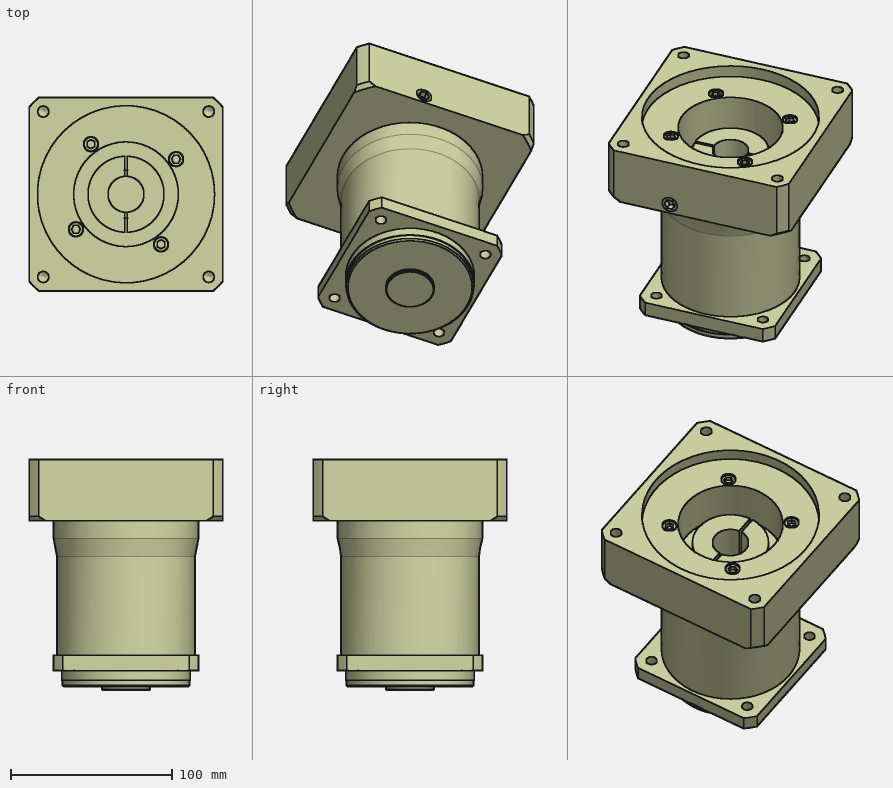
import cadquery as cq
import math

overall_height = 143.0

plate_side = 120.0
plate_thickness = 38.0
plate_corner_radius = 80.8
plate_corner_chamfer = 2.7
pocket_radius = 54.9
pocket_depth = 8.0
plate_bore_radius = 32.5
motor_hole_spacing = 102.5
motor_hole_radius = 3.5
motor_hole_depth = 20.0
drill_tip_angle = 118.0

screw_circle_radius = 37.9
screw_first_angle = 35.0
screw_spacing_angle = 90.0
screw_count = 4
screw_head_radius = 4.3
screw_recess_radius = 4.6
screw_recess_depth = 4.3
screw_head_drop = 0.9
screw_hex_width = 4.9
screw_hex_depth = 2.9

plug_radius = 5.0
plug_length = 8.6
plug_y = 17.0
plug_hex_width = 6.0
plug_hex_depth = 4.3

hub_head_radius = 23.6
hub_head_height = 13.0
hub_shank_radius = 15.0
hub_shank_length = 20.0
hub_bore_radius = 11.2
hub_bore_depth = 30.0
hub_slot_width = 1.7
hub_slot_depth = 21.5

neck_radius = 45.0
neck_length = 10.7
taper_length = 11.2
barrel_radius = 42.9
flange_side = 90.1
flange_corner_radius = 59.6
flange_bottom = 12.2
flange_thickness = 9.6
flange_hole_spacing = 70.8
flange_hole_radius = 3.3
pilot_radius = 39.9
pilot_bottom = 6.0
pilot_relief_radius = 39.5
pilot_relief_bottom = 2.0
pilot_chamfer = 1.0
output_radius = 15.0
output_chamfer = 0.6

plate_bottom = overall_height - plate_thickness
pocket_floor = overall_height - pocket_depth
flange_top = flange_bottom + flange_thickness
hub_top = plate_bottom + hub_head_height
hub_bottom = plate_bottom - hub_shank_length
plug_z = plate_bottom + hub_head_height / 2


def disc(radius, bottom, top):
    """Cylinder on the Z axis between two levels."""
    return cq.Workplane("XY").workplane(offset=bottom).circle(radius).extrude(top - bottom)


def square_block(side, bottom, top):
    """Square block centred on the Z axis between two levels."""
    return cq.Workplane("XY").workplane(offset=bottom).rect(side, side).extrude(top - bottom)


def corner_points(spacing):
    """Four points at the corners of a square centred on the axis."""
    half = spacing / 2
    return [(x, y) for x in (-half, half) for y in (-half, half)]


def hexagon_diameter(width_across_flats):
    """Diameter across the corners of a hexagon."""
    return width_across_flats / math.cos(math.pi / 6)


def motor_hole():
    """Blind drilled hole with a conical tip, its mouth at the origin."""
    tip_length = motor_hole_radius / math.tan(math.radians(drill_tip_angle / 2))
    return (
        cq.Workplane("XZ")
        .moveTo(0, 0)
        .lineTo(motor_hole_radius, 0)
        .lineTo(motor_hole_radius, -motor_hole_depth)
        .lineTo(0, -motor_hole_depth - tip_length)
        .close()
        .revolve(360, (0, 0, 0), (0, 1, 0))
    )


def screw_recess():
    """Space around and inside one socket screw head, on the +X side of the screw circle."""
    recess = disc(screw_recess_radius, pocket_floor - screw_recess_depth, pocket_floor)
    head_top = pocket_floor - screw_head_drop
    head = disc(screw_head_radius, pocket_floor - screw_recess_depth, head_top)
    socket = (
        cq.Workplane("XY")
        .workplane(offset=head_top - screw_hex_depth)
        .polygon(6, hexagon_diameter(screw_hex_width))
        .extrude(screw_hex_depth)
        .rotate((0, 0, 0), (0, 0, 1), -screw_first_angle)
    )
    return recess.cut(head.cut(socket)).translate((screw_circle_radius, 0, 0))


def plug_blank():
    """Solid cylinder of the plug, running in from the -X face of the plate."""
    return (
        cq.Workplane("YZ")
        .workplane(offset=-plate_side / 2)
        .center(plug_y, plug_z)
        .circle(plug_radius)
        .extrude(plug_length)
    )


def make_adapter_plate():
    corners = disc(plate_corner_radius, plate_bottom, overall_height)
    corners = corners.faces("<Z").chamfer(plate_corner_chamfer)
    plate = square_block(plate_side, plate_bottom, overall_height).intersect(corners)
    plate = plate.cut(disc(pocket_radius, pocket_floor, overall_height))
    plate = plate.cut(disc(plate_bore_radius, plate_bottom, pocket_floor))
    for x, y in corner_points(motor_hole_spacing):
        plate = plate.cut(motor_hole().translate((x, y, overall_height)))
    for index in range(screw_count):
        angle = screw_first_angle + index * screw_spacing_angle
        plate = plate.cut(screw_recess().rotate((0, 0, 0), (0, 0, 1), angle))
    return plate.cut(plug_blank())


def make_plug():
    socket = (
        cq.Workplane("YZ")
        .workplane(offset=-plate_side / 2)
        .center(plug_y, plug_z)
        .polygon(6, hexagon_diameter(plug_hex_width))
        .extrude(plug_hex_depth)
    )
    return plug_blank().cut(socket)


def make_clamp_hub():
    hub = disc(hub_head_radius, plate_bottom, hub_top)
    hub = hub.union(disc(hub_shank_radius, hub_bottom, plate_bottom))
    hub = hub.cut(disc(hub_bore_radius, hub_top - hub_bore_depth, hub_top))
    slot = (
        cq.Workplane("XY")
        .workplane(offset=hub_top - hub_slot_depth)
        .rect(hub_slot_width, 2 * hub_head_radius)
        .extrude(hub_slot_depth)
    )
    return hub.cut(slot)


def make_housing():
    neck_bottom = plate_bottom - neck_length
    turned = (
        cq.Workplane("XZ")
        .moveTo(0, 0)
        .lineTo(output_radius - output_chamfer, 0)
        .lineTo(output_radius, output_chamfer)
        .lineTo(output_radius, pilot_relief_bottom)
        .lineTo(pilot_relief_radius - pilot_chamfer, pilot_relief_bottom)
        .lineTo(pilot_relief_radius, pilot_relief_bottom + pilot_chamfer)
        .lineTo(pilot_relief_radius, pilot_bottom)
        .lineTo(pilot_radius, pilot_bottom)
        .lineTo(pilot_radius, flange_top)
        .lineTo(barrel_radius, flange_top)
        .lineTo(barrel_radius, neck_bottom - taper_length)
        .lineTo(neck_radius, neck_bottom)
        .lineTo(neck_radius, plate_bottom)
        .lineTo(0, plate_bottom)
        .close()
        .revolve(360, (0, 0, 0), (0, 1, 0))
    )
    flange = square_block(flange_side, flange_bottom, flange_top).intersect(
        disc(flange_corner_radius, flange_bottom, flange_top)
    )
    flange_holes = (
        cq.Workplane("XY")
        .workplane(offset=flange_bottom)
        .pushPoints(corner_points(flange_hole_spacing))
        .circle(flange_hole_radius)
        .extrude(flange_thickness)
    )
    shank_hole = disc(hub_shank_radius, hub_bottom, plate_bottom)
    return turned.union(flange).cut(flange_holes).cut(shank_hole)


adapter_plate = make_adapter_plate()
plug = make_plug()
clamp_hub = make_clamp_hub()
housing = make_housing()

result = cq.Compound.makeCompound(
    [adapter_plate.val(), plug.val(), clamp_hub.val(), housing.val()]
)